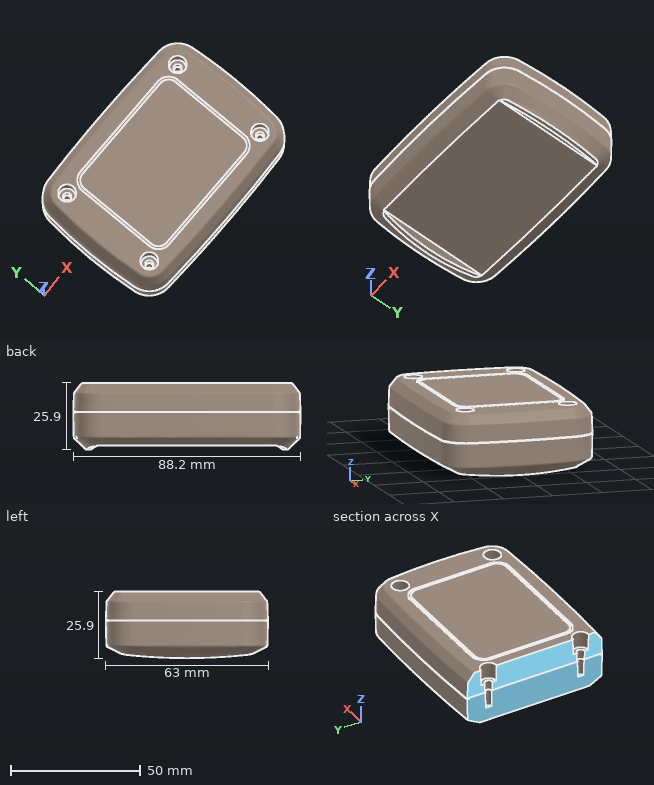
import cadquery as cq

total_height = 25.9
parting_z = 14.7
parting_gap = 0.3
base_rim_z = parting_z - parting_gap
cover_wall_top_z = 22.0
base_wall_bottom_z = 4.6
underside_z = 1.6

half_length = 44.1
half_width = 31.5
corner_radius = 10.1
corner_x = 32.9
corner_y = 20.5

cover_draft = 0.3
cover_bevel = 3.1
base_draft = 0.2
seat_inset = 0.9

underside_half_length = 40.75
underside_half_width = 25.3
underside_corner_radius = 3.5
underside_corner_x = 34.2
underside_corner_y = 21.3

cover_rim_radius = 1.5
cover_shoulder_radius = 1.15
base_shoulder_radius = 1.15

foot_inset = 1.6
foot_crown_radius = 217.0
foot_ramp_top_x = 34.75
foot_ramp_bottom_x = 37.3

label_length = 57.3
label_width = 44.8
label_corner_radius = 5.4
groove_width = 1.15
groove_depth = 0.5

screw_x = 33.25
screw_y = 20.8
head_diameter = 7.0
head_depth = 7.1
shank_diameter = 3.7
pilot_diameter = 2.8
pilot_depth = 7.1
screw_hole_taper = 1.5

screw_points = [(sx * screw_x, sy * screw_y) for sx in (-1, 1) for sy in (-1, 1)]


def bulged_wire(reach_x, reach_y, radius, center_x, center_y, z):
    """Four bulged sides reaching reach_x and reach_y, with corners rounded about (center_x, center_y)."""
    core = (
        cq.Workplane("XY", origin=(0, 0, z))
        .moveTo(-center_x, -center_y)
        .threePointArc((0, radius - reach_y), (center_x, -center_y))
        .threePointArc((reach_x - radius, 0), (center_x, center_y))
        .threePointArc((0, reach_y - radius), (-center_x, center_y))
        .threePointArc((radius - reach_x, 0), (-center_x, -center_y))
        .close()
    )
    return core.offset2D(radius, "arc").val()


def body_wire(inset, z):
    """Outline of the case at level z, moved inward by inset."""
    return bulged_wire(half_length - inset, half_width - inset, corner_radius - inset, corner_x, corner_y, z)


def underside_wire(inset, z):
    """Outline of the underside at level z, moved inward by inset."""
    return bulged_wire(
        underside_half_length - inset,
        underside_half_width - inset,
        underside_corner_radius - inset,
        underside_corner_x,
        underside_corner_y,
        z,
    )


def ruled_solid(lower, upper):
    return cq.Workplane(obj=cq.Solid.makeLoft([lower, upper], True))


def rim_edges(body, z):
    """Edges of the body that lie wholly at level z."""
    margin = 0.01
    low_corner = (-2 * half_length, -2 * half_width, z - margin)
    high_corner = (2 * half_length, 2 * half_width, z + margin)
    return body.edges(cq.selectors.BoxSelector(low_corner, high_corner, boundingbox=True))


def label_groove():
    """Shallow groove that runs round the rounded label rectangle."""
    floor = cq.Workplane("XY", origin=(0, 0, total_height - groove_depth))
    island_corner_radius = label_corner_radius - groove_width
    outer = floor.rect(label_length, label_width).extrude(groove_depth)
    outer = outer.edges("|Z").fillet(label_corner_radius)
    island = floor.rect(label_length - 2 * groove_width, label_width - 2 * groove_width).extrude(groove_depth)
    return outer.cut(island.edges("|Z").fillet(island_corner_radius))


def screw_bores(diameter, top_z, depth):
    """One bore, narrowing downward, at each screw position."""
    plane = cq.Workplane("XY", origin=(0, 0, top_z))
    return plane.pushPoints(screw_points).circle(diameter / 2).extrude(-depth, taper=screw_hole_taper)


def make_cover():
    wall = ruled_solid(body_wire(0, parting_z), body_wire(cover_draft, cover_wall_top_z))
    bevel = ruled_solid(
        body_wire(cover_draft, cover_wall_top_z),
        body_wire(cover_draft + cover_bevel, total_height),
    )
    cover = wall.union(bevel)
    cover = rim_edges(cover, total_height).fillet(cover_rim_radius)
    cover = rim_edges(cover, cover_wall_top_z).fillet(cover_shoulder_radius)

    cover = cover.cut(label_groove())
    cover = cover.cut(screw_bores(head_diameter, total_height, head_depth))
    return cover.cut(screw_bores(shank_diameter, total_height, total_height - parting_z))


def make_base():
    wall = ruled_solid(body_wire(base_draft, base_wall_bottom_z), body_wire(0, base_rim_z))
    bevel = ruled_solid(underside_wire(0, underside_z), body_wire(base_draft, base_wall_bottom_z))
    base = wall.union(bevel)
    base = rim_edges(base, base_wall_bottom_z).fillet(base_shoulder_radius)

    feet = ruled_solid(underside_wire(foot_inset, 0), underside_wire(0, underside_z))
    crown = cq.Workplane("YZ").center(0, foot_crown_radius).circle(foot_crown_radius)
    feet = feet.intersect(crown.extrude(half_length, both=True))
    gap = (
        cq.Workplane("XZ")
        .polyline([
            (-foot_ramp_bottom_x, 0),
            (foot_ramp_bottom_x, 0),
            (foot_ramp_top_x, underside_z),
            (-foot_ramp_top_x, underside_z),
        ])
        .close()
        .extrude(half_width, both=True)
    )
    base = base.union(feet.cut(gap))

    seat = ruled_solid(body_wire(seat_inset, base_rim_z), body_wire(seat_inset, parting_z))
    base = base.union(seat)
    return base.cut(screw_bores(pilot_diameter, parting_z, pilot_depth))


cover = make_cover()
base = make_base()
result = cq.Compound.makeCompound([cover.val(), base.val()])